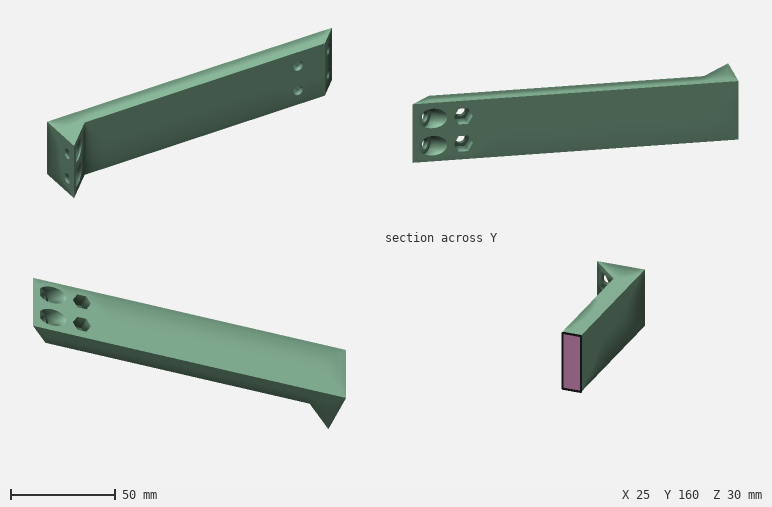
import cadquery as cq
import math

width = 25.0
length = 160.0
height = 30.0

bar_thickness = 10.0
wedge_rise = width - bar_thickness

screw_diameter = 5.2
pair_spacing = 14.0
hole_heights = [-pair_spacing / 2, pair_spacing / 2]

head_diameter = 10.0
seat_wall = 2.5

foot_hole_x = 18.75

nut_across_flats = 8.0
nut_sides = 6
nut_depth = bar_thickness - seat_wall
nut_to_tip = 25.0
nut_y = length - nut_to_tip

end_hole_y = length - bar_thickness
head_depth = bar_thickness / math.sqrt(2) - seat_wall

through_length = 2 * width


def make_body():
    """Bar and wedge foot, extruded symmetrically about Z = 0."""
    outline = [
        (0, 0),
        (width, 0),
        (bar_thickness, wedge_rise),
        (bar_thickness, length - bar_thickness),
        (0, length),
    ]
    return cq.Workplane("XY").polyline(outline).close().extrude(height / 2, both=True)


def cylinder(start, direction, diameter, depth):
    """Cylinder from a start point along a direction."""
    solid = cq.Solid.makeCylinder(diameter / 2, depth, cq.Vector(*start), cq.Vector(*direction))
    return cq.Workplane(solid)


def cut_foot_hole(body, z):
    """Hole along Y through the wedge foot, counterbored from the sloped side."""
    axis = (0, 1, 0)
    hole = cylinder((foot_hole_x, 0, z), axis, screw_diameter, wedge_rise)
    head_bore = cylinder((foot_hole_x, seat_wall, z), axis, head_diameter, wedge_rise)
    return body.cut(hole).cut(head_bore)


def cut_nut_hole(body, z):
    """Hole along X through the bar, with a hexagonal nut pocket on the X = 0 face."""
    across_corners = nut_across_flats / math.cos(math.pi / nut_sides)
    pocket = (
        cq.Workplane("YZ", origin=(0, nut_y, z))
        .polygon(nut_sides, across_corners)
        .extrude(nut_depth)
    )
    hole = cylinder((0, nut_y, z), (1, 0, 0), screw_diameter, through_length)
    return body.cut(pocket).cut(hole)


def cut_end_hole(body, z):
    """Counterbored hole square to the sloped end, entered from the X = 0 face."""
    axis = (1, 1, 0)
    lead_in = head_diameter
    offset = lead_in / math.sqrt(2)
    start = (-offset, end_hole_y - offset, z)
    head_bore = cylinder(start, axis, head_diameter, lead_in + head_depth)
    hole = cylinder(start, axis, screw_diameter, through_length)
    return body.cut(head_bore).cut(hole)


handle = make_body()
for hole_z in hole_heights:
    handle = cut_foot_hole(handle, hole_z)
    handle = cut_nut_hole(handle, hole_z)
    handle = cut_end_hole(handle, hole_z)

result = cq.Workplane(handle.solids().val())